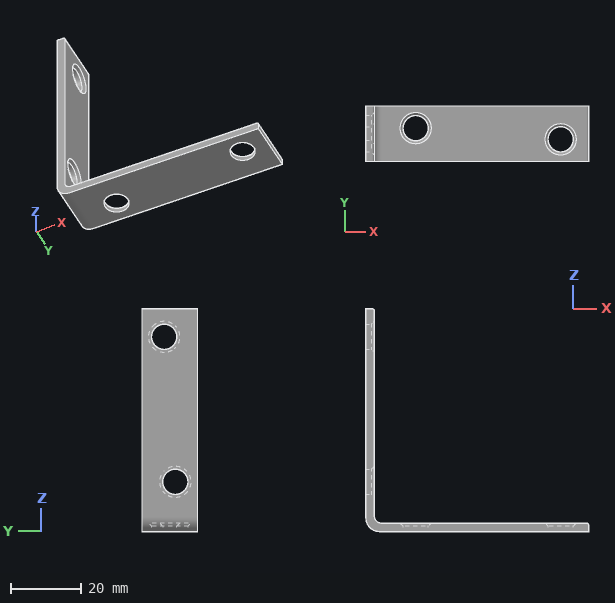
import cadquery as cq

leg_length = 63.5
width = 15.9
thickness = 2.5
outer_bend_radius = 4.0
inner_bend_radius = 2.05
tip_fillet = 0.6

hole_diameter = 7.1
sink_diameter = 8.9
sink_angle = 90.0
near_hole_distance = 14.2
far_hole_distance = 55.5
hole_offset = 1.6


def angle_profile():
    """L-shaped outline with the outer corner at the origin, bend left sharp."""
    return [
        (0, 0),
        (leg_length, 0),
        (leg_length, thickness),
        (thickness, thickness),
        (thickness, leg_length),
        (0, leg_length),
    ]


def round_edge(body, x, z, radius):
    """Round the edge across the width that passes through (x, z)."""
    edge = body.edges(cq.selectors.NearestToPointSelector((x, 0, z)))
    return edge.fillet(radius)


def drill_leg(body, face_plane, holes):
    """Drill countersunk holes from the inner face of one leg."""
    return (
        body.copyWorkplane(cq.Workplane(face_plane))
        .pushPoints(holes)
        .cskHole(hole_diameter, sink_diameter, sink_angle, depth=2 * thickness)
    )


bracket = cq.Workplane("XZ").polyline(angle_profile()).close().extrude(width / 2, both=True)
bracket = round_edge(bracket, 0, 0, outer_bend_radius)
bracket = round_edge(bracket, thickness, thickness, inner_bend_radius)
bracket = round_edge(bracket, leg_length, thickness, tip_fillet)
bracket = round_edge(bracket, thickness, leg_length, tip_fillet)

floor_plane = cq.Plane(origin=(0, 0, thickness), xDir=(1, 0, 0), normal=(0, 0, 1))
wall_plane = cq.Plane(origin=(thickness, 0, 0), xDir=(0, 0, 1), normal=(1, 0, 0))
hole_positions = [(near_hole_distance, hole_offset), (far_hole_distance, -hole_offset)]

bracket = drill_leg(bracket, floor_plane, hole_positions)
bracket = drill_leg(bracket, wall_plane, hole_positions)

result = bracket